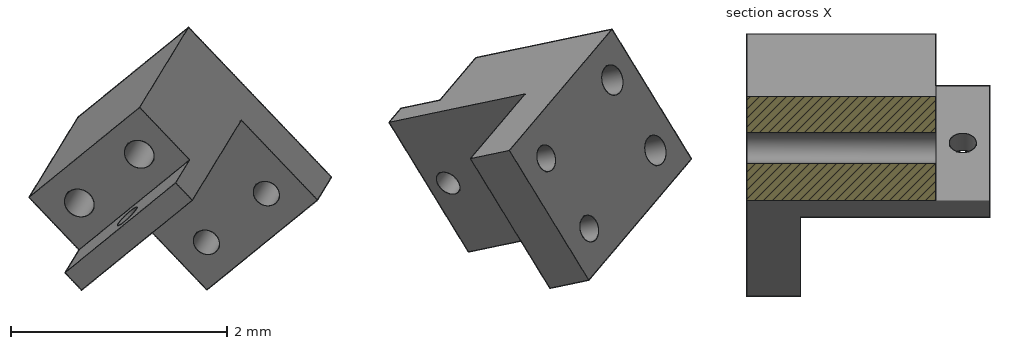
import cadquery as cq
import math

turn_angle = 45
outer_span = 2.43
width = 1.5
length = outer_span * math.sqrt(2) - width
depth = 2.25

block_length = 0.678
wall_thickness = 0.225
block_depth = 1.75
plate_thickness = 0.5

block_hole_diameter = 0.285
plate_hole_diameter = 0.25
wall_hole_diameter = 0.25
hole_spacing = 0.812
plate_hole_position = 1.587

wall_end = block_length + wall_thickness
block_hole_position = block_length / 2
wall_hole_depth = (block_depth + depth) / 2

body = (
    cq.Workplane("XY")
    .moveTo(0, 0)
    .lineTo(length, 0)
    .lineTo(length, -plate_thickness)
    .lineTo(wall_end, -plate_thickness)
    .lineTo(wall_end, -depth)
    .lineTo(block_length, -depth)
    .lineTo(block_length, -block_depth)
    .lineTo(0, -block_depth)
    .close()
    .extrude(width / 2, both=True)
)


def hole_pair(position, diameter):
    """Two through holes along Y, side by side across the width."""
    centers = [(position, -hole_spacing / 2), (position, hole_spacing / 2)]
    return cq.Workplane("XZ").pushPoints(centers).circle(diameter / 2).extrude(depth)


wall_hole = (
    cq.Workplane("YZ", origin=(block_length, -wall_hole_depth, 0))
    .circle(wall_hole_diameter / 2)
    .extrude(wall_thickness)
)

body = (
    body.cut(hole_pair(block_hole_position, block_hole_diameter))
    .cut(hole_pair(plate_hole_position, plate_hole_diameter))
    .cut(wall_hole)
)

result = body.rotate((0, 0, 0), (0, 1, 0), turn_angle)